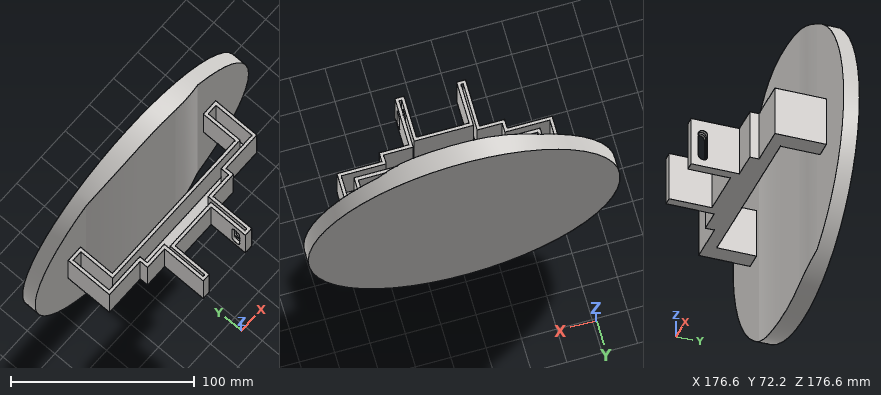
import cadquery as cq

disc_radius = 88.3
rim_thickness = 9.2
crown_thickness = 11.7
crown_left_end = -46.0
crown_flat_left = -6.2
crown_flat_right = 25.2
crown_right_end = 46.0

bracket_height = 30.4
wall = 2.0
bracket_half_width = 60.9
leg_width = 10.2
step_half_width = 35.5
beam_back = -32.1
beam_front = -39.0
step_front = -44.3
finger_root = -47.5
finger_tip = -72.2
left_finger_outer = -21.4
left_finger_inner = -16.2
right_finger_inner = 13.5
right_finger_outer = 18.7

slot_width = 5.3
slot_length = 19.2
slot_from_tip = 6.9
slot_center_z = -1.0


def blend_middle(x_end, x_flat):
    """Point halfway along a shallow arc that blends smoothly into the crown flat."""
    quarter_drop = (crown_thickness - rim_thickness) / 4
    return ((x_end + x_flat) / 2, quarter_drop - crown_thickness)


def make_disc():
    """Round blank trimmed to a profile with a raised crown."""
    blank = cq.Workplane("XZ").circle(disc_radius).extrude(crown_thickness)
    profile = (
        cq.Workplane("XY")
        .workplane(offset=-disc_radius)
        .moveTo(-disc_radius, 0)
        .lineTo(-disc_radius, -rim_thickness)
        .lineTo(crown_left_end, -rim_thickness)
        .threePointArc(
            blend_middle(crown_left_end, crown_flat_left),
            (crown_flat_left, -crown_thickness),
        )
        .lineTo(crown_flat_right, -crown_thickness)
        .threePointArc(
            blend_middle(crown_right_end, crown_flat_right),
            (crown_right_end, -rim_thickness),
        )
        .lineTo(disc_radius, -rim_thickness)
        .lineTo(disc_radius, 0)
        .close()
        .extrude(2 * disc_radius)
    )
    return blank.intersect(profile)


def bracket_outline(z):
    """Closed outline of the bracket: two legs, a stepped beam and two fingers."""
    leg_inner = bracket_half_width - leg_width
    points = [
        (-bracket_half_width, -rim_thickness),
        (-bracket_half_width, beam_front),
        (-step_half_width, beam_front),
        (-step_half_width, step_front),
        (left_finger_outer, step_front),
        (left_finger_outer, finger_tip),
        (left_finger_inner, finger_tip),
        (left_finger_inner, finger_root),
        (right_finger_inner, finger_root),
        (right_finger_inner, finger_tip),
        (right_finger_outer, finger_tip),
        (right_finger_outer, step_front),
        (step_half_width, step_front),
        (step_half_width, beam_front),
        (bracket_half_width, beam_front),
        (bracket_half_width, -rim_thickness),
        (leg_inner, -rim_thickness),
        (leg_inner, beam_back),
        (-leg_inner, beam_back),
        (-leg_inner, -rim_thickness),
    ]
    return cq.Workplane("XY").workplane(offset=z).polyline(points).close()


def make_bracket():
    """Bracket hollowed from the top, leaving even walls and a floor."""
    bottom = -bracket_height / 2
    body = bracket_outline(bottom).extrude(bracket_height)
    cavity = (
        bracket_outline(bottom + wall)
        .offset2D(-wall, "intersection")
        .extrude(bracket_height)
    )
    return body.cut(cavity)


def make_finger_slot():
    """Cutter for the oblong slot, spanning the full thickness of the right finger."""
    return (
        cq.Workplane("YZ")
        .workplane(offset=right_finger_inner)
        .center(finger_tip + slot_from_tip, slot_center_z)
        .slot2D(slot_length, slot_width, 90)
        .extrude(right_finger_outer - right_finger_inner)
    )


result = make_disc().union(make_bracket()).cut(make_finger_slot())